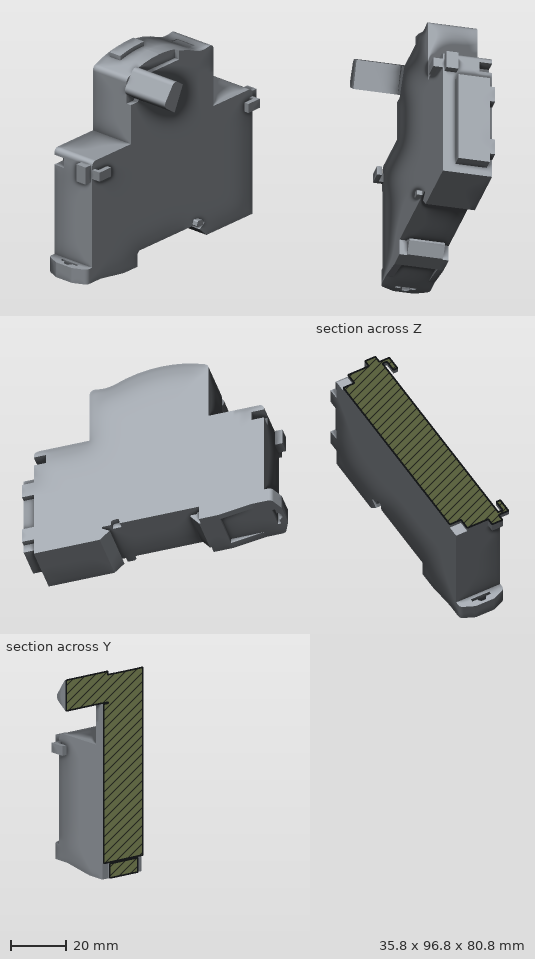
import cadquery as cq
import math


TOTAL_X = 35.8
TOTAL_Y = 96.8
TOTAL_Z = 80.8

BODY_X = 18.4
BODY_FRONT = 5.1
BODY_REAR = 92.3
SHOULDER_Z = 49.95
TOWER_FRONT = 26.1
TOWER_REAR = 71.1
SHOULDER_RADIUS = 1.9
TOWER_FRONT_RADIUS = 2.2
TOWER_REAR_RADIUS = 1.7

BUTTON_RISE = 1.7
CROWN_Z = TOTAL_Z - BUTTON_RISE
CROWN_Y = 44.0
CROWN_FRONT_RADIUS = 42.6
CROWN_REAR_RADIUS = 39.7
CROWN_REAR = 61.6
DIP_Y = 65.3
DIP_Z = 74.15
LIP_Y = 68.8
LIP_Z = 74.5
WINDOW_X = (4.9, 13.5)
WINDOW_Y = (63.3, 66.5)
WINDOW_DEPTH = 0.3

RAIL_FRONT = 29.8
RAIL_REAR = 66.4
RAIL_Z = 6.1
HOOK_ROOT_Z = 5.2
HOOK_TIP = (63.6, 3.5)
HOOK_BASE_Y = 67.4
RAMP_REAR = 22.5
RAMP_FRONT = 9.7

TAB_Z = (2.0, 7.9)
LATCH_X = (2.3, 15.7)
TAB_NOSE_LENGTH = 2.4
TAB_NOSE_WIDTH = 7.7
TAB_RADIUS = 1.9
LATCH_FOOT_Y = 30.4
LATCH_TIP_Y = 33.6
LATCH_TIP_Z = (4.2, 4.9)
LATCH_HEEL = (31.2, 5.7)
SLOT_Y = (2.6, 3.8)
SLOT_WIDTH = 7.7
SLOT_NECK_WIDTH = 3.5
SLOT_NOSE_WIDTH = 1.7
SLOT_NOSE_Y = 1.2

KNOB_X = (13.4, 17.8)
KNOB_Z = (41.7, 48.5)
KNOB_LENGTH = 2.9
CLAW_REACH = 3.6
CLAW_ARM = 1.5
CLAW_FINGER = 1.8
CLAW_LENGTH = 6.2
CLAW_Z = (43.2, 46.8)
NOTCH_SIZE = 4.6
NOTCH_Z = (43.5, 47.3)
PEG_LENGTH = 2.1
PEG_FRONT = 59.7
PEG_REAR = 63.0
PEG_TOP_FRONT = (60.5, 8.5)
PEG_TOP_REAR = (62.6, 8.2)
PEG_CORNER = 0.4
PEG_BEVEL = 0.6

KEY_X = (2.0, 13.7)
KEY_Z = (3.5, 38.5)
KEY_LUGS_Z = ((7.0, 13.2), (28.9, 35.0))

BUTTON_X = (2.2, 7.4)
BUTTON_Y = (32.8, 45.8)

RECESS_X = 16.4
RECESS_REAR = 52.5
RECESS_FLOOR_Z = 74.7
RECESS_LEDGE_Z = 65.4
RECESS_SLOPE_Y = (30.0, 36.8)
LEVER_ANGLE = 55.0
LEVER_WIDTH = 10.55
LEVER_RADIUS = 2.1
LEVER_UPPER_CENTER = (31.0, 76.1)
LEVER_UPPER_REAR = 34.9
LEVER_LOWER_Z = 66.2
HUB_X = 19.3
HUB_REAR = RECESS_SLOPE_Y[1]


def box(x_range, y_range, z_range):
    """Axis-aligned block between the given limits."""
    size = [high - low for low, high in (x_range, y_range, z_range)]
    return cq.Workplane("XY").box(*size, centered=False).translate((x_range[0], y_range[0], z_range[0]))


def side_prism(points, x_range):
    """Prism along X whose outline is a polygon of (y, z) points."""
    start, end = x_range
    return cq.Workplane("YZ").workplane(offset=start).polyline(points).close().extrude(end - start)


def flat_prism(points, z_range):
    """Prism along Z whose outline is a polygon of (x, y) points."""
    bottom, top = z_range
    return cq.Workplane("XY").workplane(offset=bottom).polyline(points).close().extrude(top - bottom)


def mirrored_in_thickness(half_outline):
    """Close a half outline by reflecting it about the middle of the housing thickness."""
    return half_outline + [(BODY_X - x, y) for x, y in reversed(half_outline)]


def round_edge(solid, y, z, radius):
    """Round the edge that runs along X through (y, z)."""
    edge = cq.selectors.NearestToPointSelector((BODY_X / 2, y, z))
    return solid.edges("|X").edges(edge).fillet(radius)


def crown_height(y, rise=0.0):
    """Height of the crown arc at y, or of the concentric arc raised above it."""
    base_radius = CROWN_FRONT_RADIUS if y < CROWN_Y else CROWN_REAR_RADIUS
    radius = base_radius + rise
    return CROWN_Z - base_radius + math.sqrt(radius**2 - (y - CROWN_Y) ** 2)


def draw_crown(outline, front, rear, rise=0.0):
    """Draw the crown line, or its raised copy, from y = front over the crest to y = rear."""
    for start, end in ((front, CROWN_Y), (CROWN_Y, rear)):
        middle = (start + end) / 2
        outline = outline.threePointArc(
            (middle, crown_height(middle, rise)), (end, crown_height(end, rise))
        )
    return outline


def make_housing():
    outline = (
        cq.Workplane("YZ")
        .moveTo(BODY_FRONT, TAB_Z[0])
        .lineTo(BODY_FRONT, SHOULDER_Z)
        .lineTo(TOWER_FRONT, SHOULDER_Z)
        .lineTo(TOWER_FRONT, crown_height(TOWER_FRONT))
    )
    outline = (
        draw_crown(outline, TOWER_FRONT, CROWN_REAR)
        .threePointArc((DIP_Y, DIP_Z), (LIP_Y, LIP_Z))
        .lineTo(TOWER_REAR, LIP_Z)
        .lineTo(TOWER_REAR, SHOULDER_Z)
        .lineTo(BODY_REAR, SHOULDER_Z)
        .lineTo(BODY_REAR, 0)
        .lineTo(HOOK_BASE_Y, 0)
        .lineTo(*HOOK_TIP)
        .lineTo(RAIL_REAR, HOOK_ROOT_Z)
        .lineTo(RAIL_REAR, RAIL_Z)
        .lineTo(RAIL_FRONT, RAIL_Z)
        .lineTo(RAIL_FRONT, 0)
        .lineTo(RAMP_REAR, 0)
        .lineTo(RAMP_FRONT, TAB_Z[0])
        .close()
    )
    housing = outline.extrude(BODY_X)
    for y in (BODY_FRONT, BODY_REAR):
        housing = round_edge(housing, y, SHOULDER_Z, SHOULDER_RADIUS)
    housing = round_edge(housing, TOWER_FRONT, crown_height(TOWER_FRONT), TOWER_FRONT_RADIUS)
    return round_edge(housing, TOWER_REAR, LIP_Z, TOWER_REAR_RADIUS)


def make_window():
    """Tool for the shallow window that follows the dip behind the crown."""
    above_floor = (
        cq.Workplane("YZ")
        .workplane(offset=WINDOW_X[0])
        .moveTo(CROWN_REAR, crown_height(CROWN_REAR) - WINDOW_DEPTH)
        .threePointArc((DIP_Y, DIP_Z - WINDOW_DEPTH), (LIP_Y, LIP_Z - WINDOW_DEPTH))
        .lineTo(LIP_Y, CROWN_Z)
        .lineTo(CROWN_REAR, CROWN_Z)
        .close()
        .extrude(WINDOW_X[1] - WINDOW_X[0])
    )
    return above_floor.intersect(box(WINDOW_X, WINDOW_Y, (0, CROWN_Z)))


def make_tab():
    """Pull tab with a rounded, tapered nose and a stepped slot through it."""
    nose_x = (BODY_X - TAB_NOSE_WIDTH) / 2
    tab = flat_prism(
        mirrored_in_thickness([(0, BODY_FRONT), (0, TAB_NOSE_LENGTH), (nose_x, 0)]), TAB_Z
    )
    tab = tab.edges("|Z and (not >Y)").fillet(TAB_RADIUS)

    wide_x = (BODY_X - SLOT_WIDTH) / 2
    neck_x = (BODY_X - SLOT_NECK_WIDTH) / 2
    tip_x = (BODY_X - SLOT_NOSE_WIDTH) / 2
    neck_y = SLOT_Y[0] - (SLOT_NECK_WIDTH - SLOT_NOSE_WIDTH) / 4
    half_slot = [
        (wide_x, SLOT_Y[1]),
        (wide_x, SLOT_Y[0]),
        (neck_x, SLOT_Y[0]),
        (neck_x, neck_y),
        (tip_x, SLOT_NOSE_Y),
    ]
    return tab.cut(flat_prism(mirrored_in_thickness(half_slot), TAB_Z))


def make_latch():
    """Latch nose that reaches into the rail channel from its front wall."""
    outline = [
        (RAIL_FRONT, 0),
        (LATCH_FOOT_Y, 0),
        (LATCH_TIP_Y, LATCH_TIP_Z[0]),
        (LATCH_TIP_Y, LATCH_TIP_Z[1]),
        (LATCH_HEEL[0], LATCH_TIP_Z[1]),
        LATCH_HEEL,
        (RAIL_FRONT, LATCH_HEEL[1]),
    ]
    return side_prism(outline, LATCH_X)


def make_end_coupling(face_y, inward):
    """Knob and claw at one end face; inward is the Y sign pointing into the housing."""
    def along(start, end):
        return sorted((face_y + inward * start, face_y + inward * end))

    reach_x = BODY_X + CLAW_REACH
    knob = box(KNOB_X, along(-KNOB_LENGTH, 0), KNOB_Z)
    arm = box((BODY_X, reach_x), along(0, CLAW_ARM), CLAW_Z)
    finger = box((reach_x - CLAW_FINGER, reach_x), along(0, CLAW_LENGTH), CLAW_Z)
    return knob.union(arm.union(finger))


def make_notches():
    """Tools for the notches that receive a neighbour's claws."""
    front = box((0, NOTCH_SIZE), (BODY_FRONT, BODY_FRONT + NOTCH_SIZE), NOTCH_Z)
    rear = box((0, NOTCH_SIZE), (BODY_REAR - NOTCH_SIZE, BODY_REAR), NOTCH_Z)
    return front.union(rear)


def peg_outline(bevel):
    """Peg section; a positive bevel trims its lower front edge."""
    lower_front = [(PEG_FRONT, RAIL_Z)]
    if bevel > 0:
        lower_front = [(PEG_FRONT + bevel, RAIL_Z), (PEG_FRONT, RAIL_Z + bevel)]
    upper_front = [(PEG_TOP_FRONT[0] - PEG_CORNER, PEG_TOP_FRONT[1] - PEG_CORNER), PEG_TOP_FRONT]
    rear = [PEG_TOP_REAR, (PEG_REAR, PEG_TOP_REAR[1] - PEG_CORNER), (PEG_REAR, RAIL_Z)]
    return lower_front + upper_front + rear


def make_key():
    """Key plate on the rear face with two lugs out to the near side."""
    key_y = (BODY_REAR, TOTAL_Y)
    key = box(KEY_X, key_y, KEY_Z)
    for lug_z in KEY_LUGS_Z:
        key = key.union(box((0, KEY_X[0]), key_y, lug_z))
    return key


def make_button():
    """Button whose top is concentric with the crown; its foot is sunk into the housing."""
    front, rear = BUTTON_Y
    foot_z = crown_height(front) - BUTTON_RISE
    outline = (
        cq.Workplane("YZ")
        .workplane(offset=BUTTON_X[0])
        .moveTo(front, foot_z)
        .lineTo(front, crown_height(front, BUTTON_RISE))
    )
    return (
        draw_crown(outline, front, rear, BUTTON_RISE)
        .lineTo(rear, foot_z)
        .close()
        .extrude(BUTTON_X[1] - BUTTON_X[0])
    )


def make_recess():
    """Tool for the lever recess: a front ledge, then a slope up to a level floor."""
    outline = [
        (TOWER_FRONT, RECESS_LEDGE_Z),
        (RECESS_SLOPE_Y[0], RECESS_LEDGE_Z),
        (RECESS_SLOPE_Y[1], RECESS_FLOOR_Z),
        (RECESS_REAR, RECESS_FLOOR_Z),
        (RECESS_REAR, TOTAL_Z),
        (TOWER_FRONT, TOTAL_Z),
    ]
    return side_prism(outline, (RECESS_X, BODY_X))


def make_lever():
    """Lever bar with a flat outer face between two rounded edges, plus its short hub."""
    tilt = math.radians(LEVER_ANGLE)
    up = (math.cos(tilt), math.sin(tilt))
    inward = (math.sin(tilt), -math.cos(tilt))

    def offset(point, along_up, along_inward):
        return tuple(p + along_up * u + along_inward * i for p, u, i in zip(point, up, inward))

    face_length = LEVER_WIDTH - 2 * LEVER_RADIUS
    middle = LEVER_RADIUS * math.sqrt(0.5)
    upper = LEVER_UPPER_CENTER
    lower = offset(upper, -face_length, 0)
    upper_side = offset(upper, LEVER_RADIUS, 0)
    lower_side = offset(lower, -LEVER_RADIUS, 0)
    upper_rear = offset(upper_side, 0, (LEVER_UPPER_REAR - upper_side[0]) / inward[0])
    lower_rear = offset(lower_side, 0, (LEVER_LOWER_Z - lower_side[1]) / inward[1])
    hub_rear = offset(upper_side, 0, (HUB_REAR - upper_side[0]) / inward[0])

    bar = (
        cq.Workplane("YZ")
        .workplane(offset=RECESS_X)
        .moveTo(*upper_rear)
        .lineTo(*upper_side)
        .threePointArc(offset(upper, middle, -middle), offset(upper, 0, -LEVER_RADIUS))
        .lineTo(*offset(lower, 0, -LEVER_RADIUS))
        .threePointArc(offset(lower, -middle, -middle), lower_side)
        .lineTo(*lower_rear)
        .close()
        .extrude(TOTAL_X - RECESS_X)
    )
    hub = side_prism([upper_rear, hub_rear, lower_rear], (RECESS_X, HUB_X))
    return bar.union(hub)


housing = make_housing()
latch_channel = box(LATCH_X, (BODY_FRONT, RAMP_REAR), (0, TAB_Z[0]))
peg_socket = side_prism(peg_outline(0), (0, PEG_LENGTH))
cutters = [
    make_window(),
    make_notches(),
    make_recess(),
    peg_socket,
    latch_channel,
]
for cutter in cutters:
    housing = housing.cut(cutter)

peg = side_prism(peg_outline(PEG_BEVEL), (BODY_X, BODY_X + PEG_LENGTH))
additions = [
    make_tab(),
    make_latch(),
    make_end_coupling(BODY_FRONT, 1),
    make_end_coupling(BODY_REAR, -1),
    peg,
    make_key(),
    make_button(),
    make_lever(),
]
for addition in additions:
    housing = housing.union(addition)

result = housing